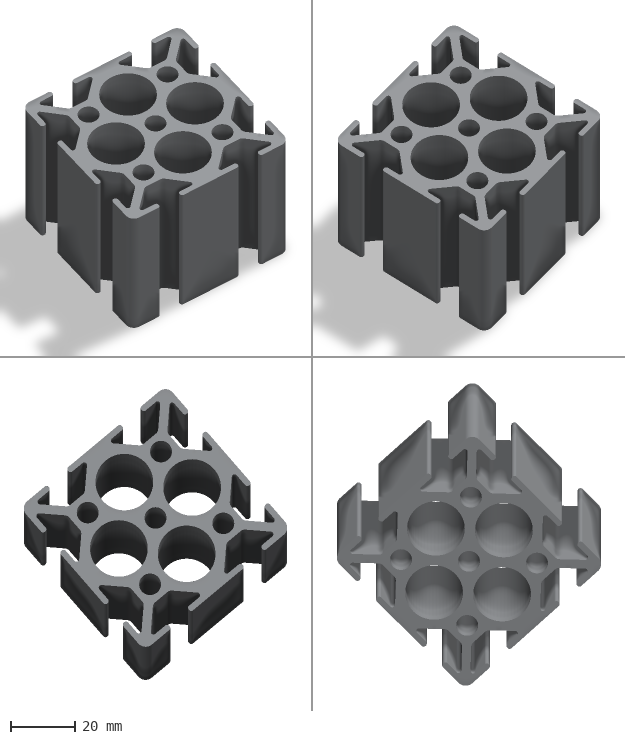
import cadquery as cq
import math

side = 60.0
length = 50.0
corner_radius = 3.0

pitch = side / 2
slot_opening = 8.0
slot_depth = 9.6
lip_thickness = 1.9
web_offset = 2.05
lip_radius = 0.85
undercut_radius = 0.85
floor_radius = 1.9

large_bore = 18.0
small_bore = 6.85


def extruded_body():
    return cq.Workplane("XY").rect(side, side).extrude(length).edges("|Z").fillet(corner_radius)


def round_slot_edges(cavity, half_width, depth_y, radius):
    """Fillet the mirrored pair of lengthwise edges at one level of the slot."""
    points = [(-pitch / 2 + sign * half_width, depth_y, length / 2) for sign in (-1, 1)]
    edges = cavity.edges(cq.selectors.NearestToPointSelector(points[0]))
    edges = edges.add(cavity.edges(cq.selectors.NearestToPointSelector(points[1])))
    return edges.fillet(radius)


def mouth_flare(outer):
    """Flare of the slot mouth that rounds the outer edge of both lips."""
    half = slot_opening / 2
    wide = half + lip_radius
    inner = outer + lip_radius
    bulge = lip_radius * math.sqrt(0.5)
    return (
        cq.Workplane("XY")
        .center(-pitch / 2, 0)
        .moveTo(-wide, outer)
        .threePointArc((-wide + bulge, inner - bulge), (-half, inner))
        .lineTo(half, inner)
        .threePointArc((wide - bulge, inner - bulge), (wide, outer))
        .close()
        .extrude(length)
    )


def slot_cutter():
    """One T-slot on the -Y side, at the left-hand grid position."""
    outer = -side / 2
    lip = outer + lip_thickness
    floor = outer + slot_depth
    mouth_half = slot_opening / 2
    undercut_half = pitch / 2 - lip_thickness - web_offset
    floor_half = pitch / 2 - slot_depth - web_offset

    half_profile = [
        (mouth_half, outer),
        (mouth_half, lip),
        (undercut_half, lip),
        (floor_half, floor),
    ]
    mirrored = [(-x, y) for x, y in reversed(half_profile)]
    cavity = (
        cq.Workplane("XY")
        .center(-pitch / 2, 0)
        .polyline(half_profile + mirrored)
        .close()
        .extrude(length)
    )
    cavity = round_slot_edges(cavity, undercut_half, lip, undercut_radius)
    cavity = round_slot_edges(cavity, floor_half, floor, floor_radius)
    cavity = round_slot_edges(cavity, mouth_half, lip, lip_radius)
    return cavity.union(mouth_flare(outer))


def cut_slots(body):
    """Two slots on each of the four sides."""
    cutter = slot_cutter()
    for quarter in range(4):
        for shift in (0, pitch):
            placed = cutter.translate((shift, 0, 0)).rotate((0, 0, 0), (0, 0, 1), 90 * quarter)
            body = body.cut(placed)
    return body


def cut_bores(body):
    """Large bores between the corners; small bores in the corners and on the axis."""
    grid = (-pitch / 2, 0, pitch / 2)
    for column, x in enumerate(grid):
        for row, y in enumerate(grid):
            diameter = large_bore if (column + row) % 2 else small_bore
            bore = cq.Workplane("XY").center(x, y).circle(diameter / 2).extrude(length)
            body = body.cut(bore)
    return body


result = cut_bores(cut_slots(extruded_body()))